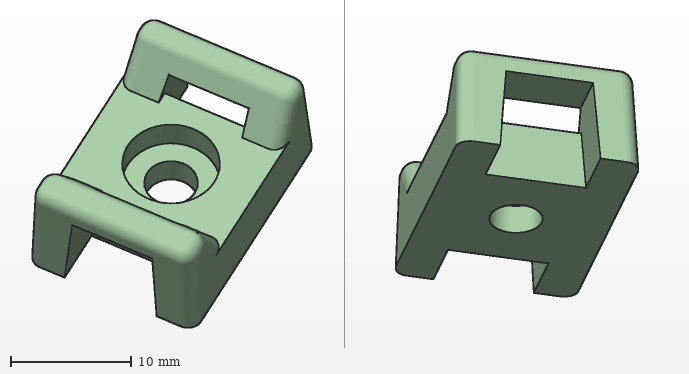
import cadquery as cq

length = 22.15
width = 15.7
height = 9.5
deck_height = 5.25
edge_radius = 1.25

left_lean = 0.18
right_lean = 0.49
front_lean = 0.35
back_lean = 0.75

slope_foot_y = 5.12
slope_crest_y = 8.05

strap_bottom_width = 8.62
strap_top_width = 7.5
strap_height = 7.45
strap_wall_y = 6.23

screw_x = -0.09
screw_diameter = 4.45
head_diameter = 8.1
head_depth = 2.65


def tapered_block():
    """Block whose four walls each lean inward by their own amount."""
    top_width = width - left_lean - right_lean
    top_length = length - front_lean - back_lean
    top_x = (left_lean - right_lean) / 2
    top_y = (front_lean - back_lean) / 2
    return (
        cq.Workplane("XY")
        .rect(width, length)
        .workplane(offset=height)
        .center(top_x, top_y)
        .rect(top_width, top_length)
        .loft(ruled=True)
    )


def bridge(side):
    """Rounded end wall with a sloping inner face; side is 1 for +Y, -1 for -Y."""
    slope = (slope_crest_y - slope_foot_y) / (height - deck_height)
    bottom_y = slope_foot_y - slope * deck_height
    profile = [
        (side * bottom_y, 0),
        (side * slope_crest_y, height),
        (side * length, height),
        (side * length, 0),
    ]
    wedge = cq.Workplane("YZ").polyline(profile).close().extrude(width, both=True)
    return tapered_block().intersect(wedge).edges("not(<Z)").fillet(edge_radius)


def base():
    """Deck block joining the two bridges, ending inside them clear of their rounded corners."""
    slab = cq.Workplane("XY").box(width, 2 * slope_crest_y, deck_height, centered=(True, True, False))
    return tapered_block().intersect(slab)


def strap_passages():
    """Tapered tunnel along Y, interrupted below the deck by the solid middle of the base."""
    profile = [
        (-strap_bottom_width / 2, 0),
        (-strap_top_width / 2, strap_height),
        (strap_top_width / 2, strap_height),
        (strap_bottom_width / 2, 0),
    ]
    tunnel = cq.Workplane("XZ").polyline(profile).close().extrude(length, both=True)
    middle = cq.Workplane("XY").box(width, 2 * strap_wall_y, deck_height, centered=(True, True, False))
    return tunnel.cut(middle)


def screw_hole():
    """Through hole with a flat-bottomed recess for the screw head."""
    shank = cq.Workplane("XY").center(screw_x, 0).circle(screw_diameter / 2).extrude(deck_height)
    head = (
        cq.Workplane("XY", origin=(screw_x, 0, deck_height))
        .circle(head_diameter / 2)
        .extrude(-head_depth)
    )
    return shank.union(head)


result = base()
for end in (-1, 1):
    result = result.union(bridge(end))
result = result.cut(strap_passages())
result = result.cut(screw_hole())